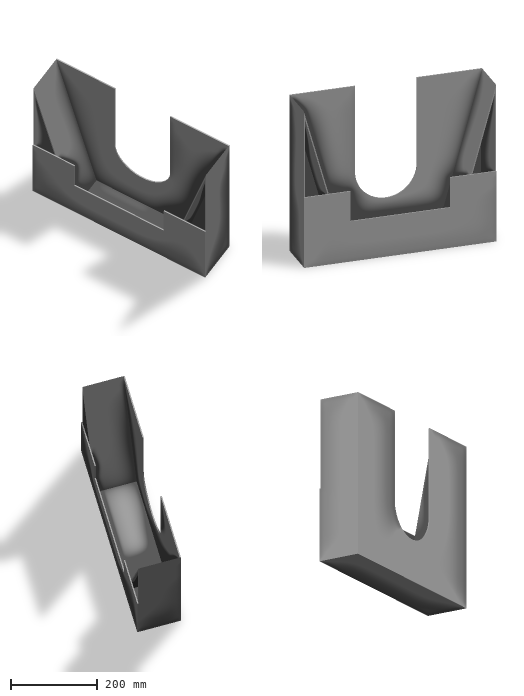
import cadquery as cq

width = 470.0
depth = 105.0
height = 394.0
plate = 3.0

slot_width = 151.5
slot_bottom = 101.5
notch_width = 243.5

slope_run = 110.0

insert_width = 13.5
insert_height = 18.5
insert_x = 69.0
insert_z = 47.0

slot_radius = slot_width / 2
slot_center_z = slot_bottom + slot_radius
shoulder_height = slot_center_z
half_width = width / 2
tray_depth = depth - plate


def plate_block(x_size, y_size, z_size, y_start, z_start):
    """Block centred on X, starting at the given Y and Z."""
    block = cq.Workplane("XY").box(x_size, y_size, z_size, centered=(True, False, False))
    return block.translate((0, y_start, z_start))


def extrude_back(outline, y_start, length):
    """Extrude an XZ outline toward +Y from the given Y."""
    return outline.extrude(-length).translate((0, y_start, 0))


def make_side_channel():
    """Left side: a vertical outer wall and a sloped inner wall around a triangular cavity."""
    foot_x = -half_width + slope_run
    wedge_outline = (
        cq.Workplane("XZ")
        .moveTo(-half_width, 0)
        .lineTo(-half_width, height)
        .lineTo(foot_x, plate)
        .lineTo(foot_x, 0)
        .close()
    )
    wedge = extrude_back(wedge_outline, plate, tray_depth)

    rise = height - plate
    slope_length = (slope_run**2 + rise**2) ** 0.5
    run_offset = plate * slope_length / rise
    rise_offset = plate * slope_length / slope_run
    cavity_x = -half_width + plate
    cavity_top = height - rise_offset - plate * rise / slope_run
    cavity_outline = (
        cq.Workplane("XZ")
        .moveTo(cavity_x, plate)
        .lineTo(cavity_x, cavity_top)
        .lineTo(foot_x - run_offset, plate)
        .close()
    )
    cavity = extrude_back(cavity_outline, plate, tray_depth - plate)
    return wedge.cut(cavity)


def make_slot():
    """Open-topped slot with a round bottom, through the back plate."""
    outline = (
        cq.Workplane("XZ")
        .moveTo(-slot_radius, height)
        .lineTo(-slot_radius, slot_center_z)
        .threePointArc((0, slot_bottom), (slot_radius, slot_center_z))
        .lineTo(slot_radius, height)
        .close()
    )
    return extrude_back(outline, depth - plate, plate)


def make_front_plate():
    """Low front plate with a rectangular notch in its top edge."""
    panel = plate_block(width, plate, shoulder_height, 0, 0)
    notch = plate_block(notch_width, plate, shoulder_height - slot_bottom, 0, slot_bottom)
    return panel.cut(notch)


def make_insert():
    """Oval disc as thick as the front plate, filling its matching hole."""
    outline = cq.Workplane("XZ").center(insert_x, insert_z).ellipse(insert_width / 2, insert_height / 2)
    return extrude_back(outline, 0, plate)


def make_housing():
    """Slotted back plate, floor, hollow side channels and front plate as one welded body."""
    back = plate_block(width, plate, height, depth - plate, 0).cut(make_slot())
    floor = plate_block(width, tray_depth, plate, plate, 0)
    left_channel = make_side_channel()
    right_channel = left_channel.mirror("YZ")
    shell = back.union(floor).union(left_channel).union(right_channel)
    return shell.union(make_front_plate()).cut(make_insert()).clean()


housing = make_housing().solids()
insert = make_insert()
result = cq.Compound.makeCompound([housing.val(), insert.val()])